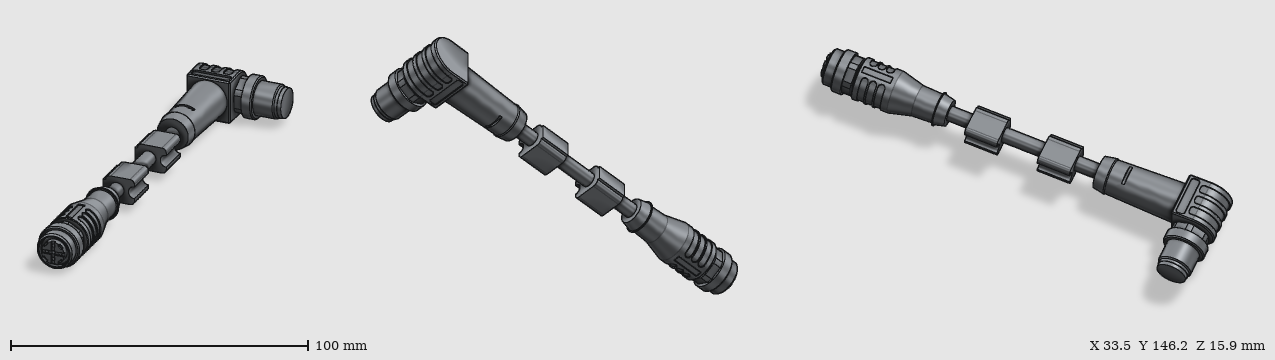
import cadquery as cq
import math


head_radius = 7.97
head_half_height = 7.7
head_front = -7.9
head_chamfer = 0.5
groove_depth = 0.5
groove_width = 2.9
groove_pitch = 4.4
groove_end = -2.5
groove_corner = 1.0
panel_size = (14.0, 3.0)
panel_center = -5.1
panel_depth = 0.6
panel_corner = 0.6

neck_radius = 4.7
nut_corner_radius = 6.7
nut_across_flats = 12.5
ring_radius = 7.53
ring_chamfer = 0.5

nut_x = 8.8
ring_x = 11.8
plug_x = 15.5
plug_step_x = 22.7
plug_tip_x = 24.1
plug_end_x = 25.5
plug_radius = 6.0
plug_step_radius = 5.48
plug_tip_radius = 5.3
plug_edge = 0.5

sleeve_radius = 7.0
sleeve_end_radius = 6.1
sleeve_end = -33.5
sleeve_lip_radius = 6.5
sleeve_lip = 0.5
cone_end_radius = 5.7
cone_end = -37.5
notch_y = -27.5
notch_width = 1.0
notch_height = 5.3

cable_radius = 2.6
clip_length = 11.8
clip_centers = (-51.7, -78.5)
clip_back = -5.1
clip_front = 6.5
clip_half_height = 4.7
clip_back_half_height = 2.9
clip_ledge = 0.9
clip_top_start = -2.2
clip_corner = 1.6
mouth_radius = 2.2

boot_start = -92.7
boot_start_radius = 4.7
boot_lip = -96.5
boot_lip_under_radius = 5.5
boot_lip_radius = 6.0
boot_lip_length = 0.3
boot_radius = 5.19
boot_flare = -104.4
boot_flare_radius = 5.48
grip_start = -112.4
grip_end = -125.7
grip_radius = 7.53
grip_end_chamfer = 0.3
socket_nut_y = -126.6
socket_ring_y = -129.7
socket_sleeve_y = -133.3
socket_face_y = -137.1
socket_radius = 6.5
socket_edge = 0.6

recess_depth = 0.5
finger_width = 2.5
finger_pitch = 3.0
finger_center = -119.3
finger_inner = 2.5
bar_width = 2.3
bar_length = 10.5

bore_radius = 5.48
bore_depth = 1.8
seal_radius = 4.75
seal_section_radius = 0.6
insert_radius = 4.17
insert_end = head_radius - 146.2
contact_circle_radius = 2.5
contact_diameter = 1.15
contact_depth = 2.9
insert_notch_offset = 3.5
insert_notch_width = 1.8
insert_notch_depth = 0.7
cross_slot_width = 1.3
cross_slot_depth = 0.7


def revolve_y(profile):
    """Solid of revolution about Y from (radius, y) points; the axis closes the profile."""
    points = [(0, profile[0][1])] + profile + [(0, profile[-1][1])]
    return cq.Workplane("XY").polyline(points).close().revolve(360, (0, 0, 0), (0, 1, 0))


def revolve_x(profile):
    """Solid of revolution about X from (x, radius) points; the axis closes the profile."""
    points = [(profile[0][0], 0)] + profile + [(profile[-1][0], 0)]
    return cq.Workplane("XY").polyline(points).close().revolve(360, (0, 0, 0), (1, 0, 0))


def nut(length):
    """Hexagon nut along local Z, corners turned down to a cylinder and one corner on local X."""
    hexagon_diameter = nut_across_flats / math.cos(math.pi / 6)
    hexagon = cq.Workplane("XY").polygon(6, hexagon_diameter).extrude(length)
    return hexagon.intersect(cq.Workplane("XY").circle(nut_corner_radius).extrude(length))


def head_block(inset):
    """Head with a round back and slightly tapered cheeks, shrunk all around by the inset."""
    radius = head_radius - inset
    cheek = head_half_height - inset
    return (
        cq.Workplane("YZ", origin=(-head_radius, 0, 0))
        .moveTo(0, -radius)
        .threePointArc((radius, 0), (0, radius))
        .lineTo(head_front, cheek)
        .lineTo(head_front, -cheek)
        .close()
        .extrude(2 * head_radius)
    )


def head_grooves():
    """Three grooves that wrap around the back of the head and end with round corners on both cheeks."""
    cutters = cq.Workplane("XY")
    groove_length = 2 * head_radius
    for step in (-1, 0, 1):
        cutters = cutters.union(
            cq.Workplane("XY", origin=(step * groove_pitch, groove_end + groove_length / 2, 0))
            .rect(groove_width, groove_length)
            .extrude(2 * head_radius, both=True)
            .edges("|Z")
            .fillet(groove_corner)
        )
    return cutters.cut(head_block(groove_depth))


def head_panels():
    """Shallow panel recess with cut corners on each cheek."""
    floor = head_half_height - panel_depth
    panel = (
        cq.Workplane("XY", origin=(0, panel_center, floor))
        .rect(*panel_size)
        .extrude(head_radius)
        .edges("|Z")
        .chamfer(panel_corner)
    )
    return panel.union(panel.mirror("XY"))


def angled_head():
    block = head_block(0).faces("<X or >X or <Y").edges().chamfer(head_chamfer)
    return block.cut(head_grooves()).cut(head_panels())


def plug():
    turned = revolve_x([
        (0, neck_radius),
        (ring_x, neck_radius),
        (ring_x, ring_radius),
        (plug_x - ring_chamfer, ring_radius),
        (plug_x, ring_radius - ring_chamfer),
        (plug_x, plug_radius),
        (plug_step_x, plug_radius),
        (plug_step_x + plug_edge, plug_step_radius),
        (plug_tip_x, plug_step_radius),
        (plug_tip_x, plug_tip_radius),
        (plug_end_x, plug_tip_radius),
    ])
    plug_nut = nut(ring_x - nut_x).rotate((0, 0, 0), (0, 1, 0), 90).translate((nut_x, 0, 0))
    return turned.union(plug_nut)


def bend_sleeve():
    """Tapered sleeve with an end lip and a straight notch above and below."""
    sleeve = revolve_y([
        (sleeve_radius, head_front + head_chamfer),
        (sleeve_end_radius, sleeve_end + sleeve_lip),
        (sleeve_lip_radius, sleeve_end),
        (cone_end_radius, cone_end),
    ])
    notch = (
        cq.Workplane("XY", origin=(0, notch_y, notch_height))
        .rect(2 * sleeve_radius, notch_width)
        .extrude(sleeve_radius)
    )
    return sleeve.cut(notch).cut(notch.mirror("XY"))


def cable():
    return revolve_y([(cable_radius, head_front), (cable_radius, grip_start)])


def label_clip(center):
    """Clip around the cable, with rounded corners and a concave mouth towards +X."""
    shoulder = clip_back + clip_ledge
    top_end = clip_front - clip_corner
    diagonal = math.sqrt(0.5)
    shoulder_rise = clip_half_height - clip_back_half_height
    shoulder_run = clip_top_start - shoulder
    shoulder_mid = (
        clip_top_start - shoulder_run * diagonal,
        clip_back_half_height + shoulder_rise * diagonal,
    )
    corner_mid = (
        top_end + clip_corner * diagonal,
        clip_half_height - clip_corner * (1 - diagonal),
    )
    upper_half = (
        cq.Workplane("XZ", origin=(0, center + clip_length / 2, 0))
        .moveTo(clip_back, 0)
        .lineTo(clip_back, clip_back_half_height)
        .lineTo(shoulder, clip_back_half_height)
        .threePointArc(shoulder_mid, (clip_top_start, clip_half_height))
        .lineTo(top_end, clip_half_height)
        .threePointArc(corner_mid, (clip_front, clip_half_height - clip_corner))
        .lineTo(clip_front, mouth_radius)
        .threePointArc(
            (clip_front - mouth_radius * diagonal, mouth_radius * diagonal),
            (clip_front - mouth_radius, 0),
        )
        .close()
        .extrude(clip_length)
    )
    return upper_half.union(upper_half.mirror("XY"))


def grip_recesses():
    """Three finger slots around each side and one bar recess above and below."""
    floor_radius = grip_radius - recess_depth
    slot_length = 2 * grip_radius
    cutters = cq.Workplane("XY")
    for side in (-1, 1):
        for step in (-1, 0, 1):
            slot_x = side * (finger_inner + slot_length / 2)
            cutters = cutters.union(
                cq.Workplane("XY", origin=(slot_x, finger_center + step * finger_pitch, 0))
                .slot2D(slot_length, finger_width)
                .extrude(grip_radius, both=True)
            )
    bars = (
        cq.Workplane("XY", origin=(0, finger_center, 0))
        .rect(bar_width, bar_length)
        .extrude(grip_radius, both=True)
    )
    core = revolve_y([(floor_radius, grip_start), (floor_radius, grip_end)])
    return cutters.union(bars).cut(core)


def socket_body():
    turned = revolve_y([
        (boot_start_radius, boot_start),
        (boot_lip_under_radius, boot_lip),
        (boot_lip_radius, boot_lip),
        (boot_lip_radius, boot_lip - boot_lip_length),
        (boot_radius, boot_lip - boot_lip_length),
        (boot_flare_radius, boot_flare),
        (grip_radius, grip_start),
        (grip_radius, grip_end + grip_end_chamfer),
        (grip_radius - grip_end_chamfer, grip_end),
        (neck_radius, grip_end),
        (neck_radius, socket_ring_y),
        (ring_radius, socket_ring_y),
        (ring_radius, socket_sleeve_y + ring_chamfer),
        (ring_radius - ring_chamfer, socket_sleeve_y),
        (socket_radius, socket_sleeve_y),
        (socket_radius, socket_face_y + socket_edge),
        (socket_radius - socket_edge, socket_face_y),
    ])
    socket_nut = (
        nut(socket_nut_y - socket_ring_y)
        .rotate((0, 0, 0), (0, 0, 1), 90)
        .rotate((0, 0, 0), (1, 0, 0), 90)
        .translate((0, socket_nut_y, 0))
    )
    bore = revolve_y([(bore_radius, socket_face_y), (bore_radius, socket_face_y + bore_depth)])
    return turned.cut(grip_recesses()).union(socket_nut).cut(bore)


def seal():
    """Round sealing ring lying on the floor of the socket bore."""
    seal_y = socket_face_y + bore_depth - seal_section_radius / 2
    return (
        cq.Workplane("XY")
        .center(seal_radius, seal_y)
        .circle(seal_section_radius)
        .revolve(360, (-seal_radius, 0, 0), (-seal_radius, 1, 0))
    )


def contact_insert():
    """Contact carrier with five contact holes, a cross slot through them and four rim notches between."""
    insert = revolve_y([(insert_radius, socket_face_y + bore_depth), (insert_radius, insert_end)])
    contacts = [(0, 0)]
    for quarter in range(4):
        angle = quarter * math.pi / 2
        contact_x = contact_circle_radius * math.cos(angle)
        contact_z = contact_circle_radius * math.sin(angle)
        contacts.append((contact_x, contact_z))
    holes = (
        cq.Workplane("XZ", origin=(0, insert_end + contact_depth, 0))
        .pushPoints(contacts)
        .circle(contact_diameter / 2)
        .extrude(contact_depth)
    )
    insert = insert.cut(holes)
    cross_bar = cq.Workplane("XY").box(
        2 * insert_radius, 2 * cross_slot_depth, cross_slot_width
    ).translate((0, insert_end, 0))
    insert = insert.cut(cross_bar).cut(cross_bar.rotate((0, 0, 0), (0, 1, 0), 90))
    notch = cq.Workplane("XY").box(
        insert_radius, 2 * insert_notch_depth, insert_notch_width, centered=(False, True, True)
    ).translate((insert_notch_offset, insert_end, 0))
    for quarter in range(4):
        insert = insert.cut(notch.rotate((0, 0, 0), (0, 1, 0), 45 + 90 * quarter))
    return insert


result = angled_head().union(plug()).union(bend_sleeve()).union(cable())
for clip_center in clip_centers:
    result = result.union(label_clip(clip_center))
result = result.union(socket_body()).union(contact_insert()).union(seal())